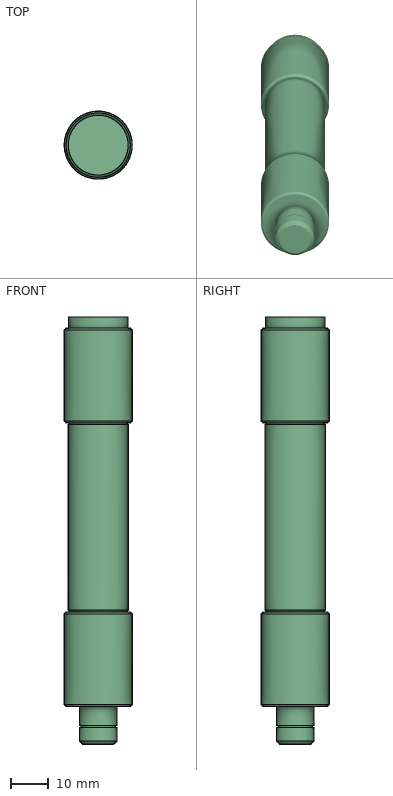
import cadquery as cq


connector_diameter = 10.0
connector_length = 10.0
connector_tip_chamfer = 0.9
groove_width = 0.6
groove_depth = 0.4
groove_bottom = 4.4

barrel_diameter = 18.0
barrel_length = 25.0

tube_diameter = 16.0
tube_length = 50.0
stub_diameter = 15.8
stub_length = 3.0

rim_chamfer = 0.5

sleeve_bottom = connector_length
tube_bottom = sleeve_bottom + barrel_length
head_bottom = tube_bottom + tube_length
stub_bottom = head_bottom + barrel_length


def cylinder(diameter, bottom, length):
    """Upright cylinder on the Z axis, starting at the given height."""
    return cq.Workplane("XY").workplane(offset=bottom).circle(diameter / 2).extrude(length)


def rimmed_cylinder(diameter, bottom, length):
    """Upright cylinder with both rims chamfered."""
    return cylinder(diameter, bottom, length).faces("<Z or >Z").chamfer(rim_chamfer)


def make_connector():
    """Round connector with a chamfered tip and a narrow groove around it."""
    connector = cylinder(connector_diameter, 0, connector_length)
    connector = connector.faces("<Z").chamfer(connector_tip_chamfer)
    groove_core = cylinder(connector_diameter - 2 * groove_depth, groove_bottom, groove_width)
    groove_ring = cylinder(connector_diameter, groove_bottom, groove_width).cut(groove_core)
    return connector.cut(groove_ring)


def make_head():
    """Upper barrel with a slightly narrower stub on its top face."""
    barrel = rimmed_cylinder(barrel_diameter, head_bottom, barrel_length)
    return barrel.union(cylinder(stub_diameter, stub_bottom, stub_length))


connector = make_connector()
sleeve = rimmed_cylinder(barrel_diameter, sleeve_bottom, barrel_length)
tube = rimmed_cylinder(tube_diameter, tube_bottom, tube_length)
head = make_head()

result = cq.Compound.makeCompound([connector.val(), sleeve.val(), tube.val(), head.val()])